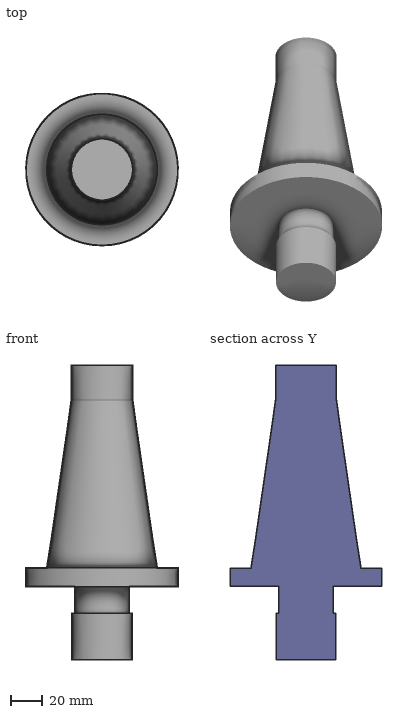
import cadquery as cq

STUD_DIAMETER = 38.5
STUD_LENGTH = 30.0
NECK_DIAMETER = 35.0
NECK_LENGTH = 17.0
FLANGE_DIAMETER = 97.5
FLANGE_THICKNESS = 12.0
TAPER_BASE_DIAMETER = 70.8
TAPER_LENGTH = 107.8
TAIL_DIAMETER = 39.3
TAIL_LENGTH = 22.0

FLANGE_TOP = FLANGE_THICKNESS
TAPER_TOP = FLANGE_TOP + TAPER_LENGTH
NECK_BOTTOM = -NECK_LENGTH
STUD_BOTTOM = NECK_BOTTOM - STUD_LENGTH


def turned_section(lower_diameter, upper_diameter, length, base_z):
    """Cylinder or cone turned about the Z axis, rising from base_z."""
    top_z = base_z + length
    return (
        cq.Workplane("YZ")
        .moveTo(0, base_z)
        .lineTo(-lower_diameter / 2, base_z)
        .lineTo(-upper_diameter / 2, top_z)
        .lineTo(0, top_z)
        .close()
        .revolve(360, (0, 0, 0), (0, 1, 0))
    )


def cylinder(diameter, length, base_z):
    """Straight round section."""
    return turned_section(diameter, diameter, length, base_z)


stud = cylinder(STUD_DIAMETER, STUD_LENGTH, STUD_BOTTOM)
neck = cylinder(NECK_DIAMETER, NECK_LENGTH, NECK_BOTTOM)
flange = cylinder(FLANGE_DIAMETER, FLANGE_THICKNESS, 0)
taper = turned_section(TAPER_BASE_DIAMETER, TAIL_DIAMETER, TAPER_LENGTH, FLANGE_TOP)
tail = cylinder(TAIL_DIAMETER, TAIL_LENGTH, TAPER_TOP)

result = stud.union(neck).union(flange).union(taper).union(tail)